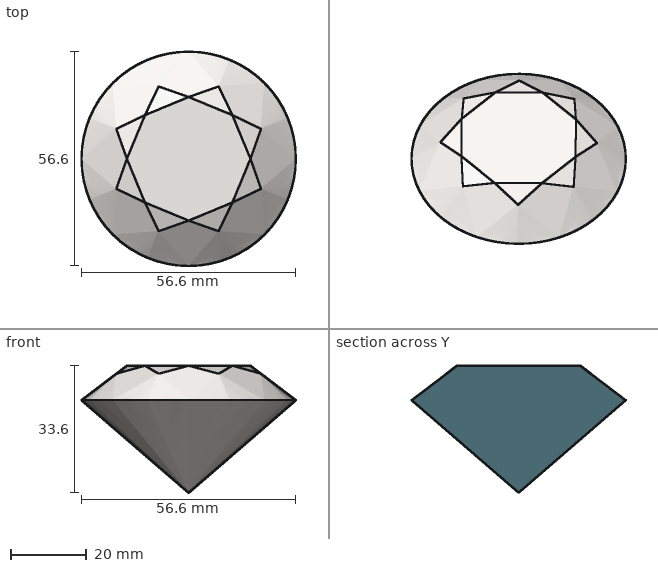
import cadquery as cq
import math

girdle_radius = 28.3
table_radius = 16.3
break_radius = 20.65
total_height = 33.6
crown_height = 9.1
main_count = 8

girdle_z = total_height - crown_height
half_step = 180.0 / main_count
kite_slope = crown_height / (girdle_radius - table_radius)
break_reach = break_radius * math.cos(math.radians(half_step))
break_z = girdle_z + kite_slope * (girdle_radius - break_reach)


def ring_point(radius, z, half_steps):
    """Point on a level circle, counted in half steps from +X."""
    angle = math.radians(half_steps * half_step)
    return cq.Vector(radius * math.cos(angle), radius * math.sin(angle), z)


def girdle_point(half_steps):
    return ring_point(girdle_radius, girdle_z, half_steps)


def table_point(half_steps):
    return ring_point(table_radius, total_height, half_steps)


def break_point(half_steps):
    return ring_point(break_radius, break_z, half_steps)


def flat_facet(*corners):
    return cq.Face.makeFromWires(cq.Wire.makePolygon(corners, close=True))


def girdle_facet(tip, start):
    """Facet from a tip to the girdle arc that spans one half step."""
    first = girdle_point(start)
    last = girdle_point(start + 1)
    arc = cq.Edge.makeThreePointArc(first, girdle_point(start + 0.5), last)
    sides = [cq.Edge.makeLine(last, tip), cq.Edge.makeLine(tip, first)]
    return cq.Face.makeNSidedSurface([arc] + sides, [])


culet = cq.Vector(0, 0, 0)
facets = [flat_facet(*[table_point(2 * i) for i in range(main_count)])]

for i in range(main_count):
    main = 2 * i
    before, after = break_point(main - 1), break_point(main + 1)
    facets.append(flat_facet(table_point(main), before, girdle_point(main), after))
    facets.append(flat_facet(table_point(main), after, table_point(main + 2)))
    for start in (main, main + 1):
        facets.append(girdle_facet(after, start))
        facets.append(girdle_facet(culet, start))

shell = cq.Shell.makeShell(facets)
result = cq.Workplane("XY").newObject([cq.Solid.makeSolid(shell)])